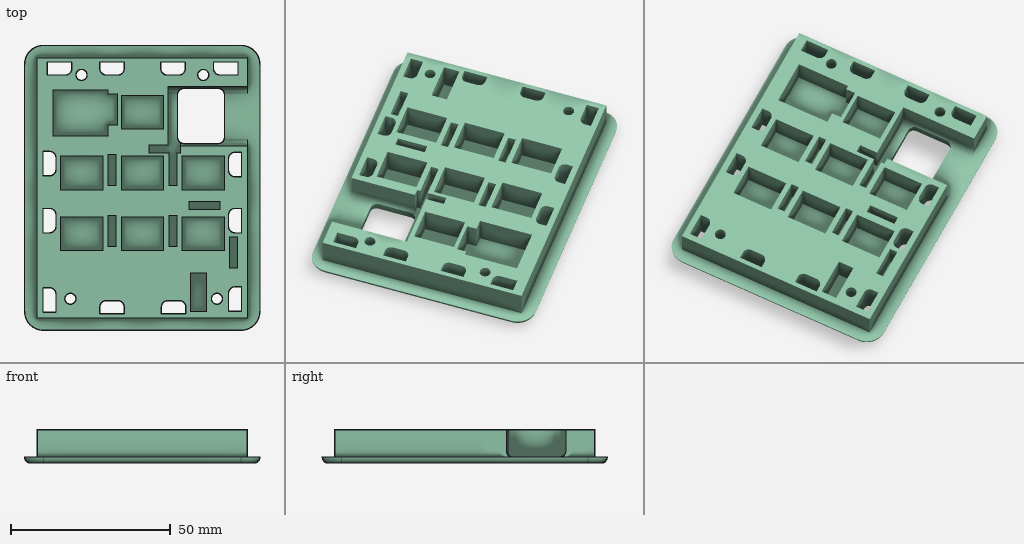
import cadquery as cq

PLATE_X, PLATE_Y, PLATE_T = 73.7, 89.25, 2.0
PLATE_CORNER_R = 6.0
EDGE_LAND = 0.01
PLATE_EDGE_R = PLATE_T - EDGE_LAND
TOTAL_H = 10.5
BODY_MARGIN = 3.9
BODY_X = PLATE_X - 2 * BODY_MARGIN
BODY_Y = PLATE_Y - 2 * BODY_MARGIN
BODY_H = TOTAL_H - PLATE_T

PITCH = 19.0
KEY_X, KEY_Y = 13.2, 10.5
GRID_X, GRID_Y = 0.1, 4.6
FULL_ROWS = (GRID_Y, GRID_Y - PITCH)
TOP_ROW = GRID_Y + PITCH

SLOT_L, SLOT_W = 9.7, 2.5
SLOT_RISE = 0.9
SIDE_SLOT = (28.6, -20.3)
FLAT_SLOTS = ((7.05, 12.2), (19.55, -5.5))

LARGE_X, LARGE_Y = 17.2, 14.4
LARGE_CENTRE = (-19.4, 23.5)
LARGE_SLOT_END = -7.7

TALL_X, TALL_Y = 5.1, 12.0
TALL_CENTRE = (17.6, -32.7)

CHANNEL_LEFT = 8.1
CHANNEL_BOTTOM, CHANNEL_TOP = 13.0, 31.7
CHANNEL_R = 2.0
WINDOW_X, WINDOW_Y = 14.6, 17.2
WINDOW_CENTRE = (18.4, 22.5)
WINDOW_R = 2.0

HOLE_D = 3.4
HOLES = ((-19.0, 35.3), (19.1, 35.3), (-22.5, -34.7), (23.4, -34.7))

NOTCH_L, NOTCH_W = 7.6, 4.0
NOTCH_R = 2.0
NOTCH_GAP_X = 1.9
NOTCH_GAP_Y = 1.3
NOTCH_X = BODY_X / 2 - NOTCH_GAP_X - NOTCH_W / 2
NOTCH_Y = BODY_Y / 2 - NOTCH_GAP_Y - NOTCH_W / 2

BOTH = "<Y"
ONLY_PLUS = "<Y and >X"
ONLY_MINUS = "<Y and <X"

TOP_NOTCHES = ((-25.9, ONLY_PLUS), (-9.5, BOTH), (9.6, BOTH), (26.15, ONLY_MINUS))
BOTTOM_NOTCHES = ((-9.5, BOTH), (9.8, BOTH))
LEFT_NOTCHES = ((7.6, BOTH), (-10.3, BOTH), (-35.1, ONLY_PLUS))
RIGHT_NOTCHES = ((7.3, BOTH), (-10.3, BOTH), (-34.8, ONLY_MINUS))


def pocket(length_x, length_y, centre):
    """Box that cuts the block down to the plate."""
    return (
        cq.Workplane("XY", origin=(centre[0], centre[1], PLATE_T))
        .box(length_x, length_y, BODY_H, centered=(True, True, False))
    )


def upright_slot(centre):
    """Slot with its long side along Y."""
    return pocket(SLOT_W, SLOT_L, centre)


def notch(centre, turn, rounded):
    """Through notch; its inner side faces -Y before it is turned about Z."""
    cutter = cq.Workplane("XY").box(NOTCH_L, NOTCH_W, TOTAL_H, centered=(True, True, False))
    cutter = cutter.edges("|Z").edges(rounded).fillet(NOTCH_R)
    return cutter.rotate((0, 0, 0), (0, 0, 1), turn).translate((centre[0], centre[1], 0))


def make_blank():
    """Plate with a rounded lower edge and the block on top of it."""
    plate = (
        cq.Workplane("XY")
        .box(PLATE_X, PLATE_Y, PLATE_T, centered=(True, True, False))
        .edges("|Z").fillet(PLATE_CORNER_R)
        .faces("<Z").edges().fillet(PLATE_EDGE_R)
    )
    body = pocket(BODY_X, BODY_Y, (0, 0))
    return plate.union(body)


def cut_key_pockets(part):
    for column in (-1, 0, 1):
        for row_y in FULL_ROWS:
            part = part.cut(pocket(KEY_X, KEY_Y, (GRID_X + column * PITCH, row_y)))
    return part.cut(pocket(KEY_X, KEY_Y, (GRID_X, TOP_ROW)))


def cut_slots(part):
    for row_y in FULL_ROWS:
        for side in (-0.5, 0.5):
            part = part.cut(upright_slot((GRID_X + side * PITCH, row_y + SLOT_RISE)))
    part = part.cut(upright_slot(SIDE_SLOT))
    for centre in FLAT_SLOTS:
        part = part.cut(pocket(SLOT_L, SLOT_W, centre))
    return part


def cut_other_pockets(part):
    part = part.cut(pocket(LARGE_X, LARGE_Y, LARGE_CENTRE))
    side_length = LARGE_SLOT_END - LARGE_CENTRE[0]
    side_centre = (LARGE_CENTRE[0] + side_length / 2, TOP_ROW + SLOT_RISE)
    part = part.cut(pocket(side_length, SLOT_L, side_centre))
    return part.cut(pocket(TALL_X, TALL_Y, TALL_CENTRE))


def cut_channel(part):
    length = BODY_X / 2 - CHANNEL_LEFT
    centre = (CHANNEL_LEFT + length / 2, (CHANNEL_BOTTOM + CHANNEL_TOP) / 2)
    channel = pocket(length, CHANNEL_TOP - CHANNEL_BOTTOM, centre)
    channel = channel.faces("<Z").edges("|X").fillet(CHANNEL_R)
    window = (
        cq.Workplane("XY", origin=(WINDOW_CENTRE[0], WINDOW_CENTRE[1], 0))
        .box(WINDOW_X, WINDOW_Y, TOTAL_H, centered=(True, True, False))
        .edges("|Z").fillet(WINDOW_R)
    )
    return part.cut(channel).cut(window)


def join_slots_to_channel(part):
    """Open the upper flat slot into the channel and the upright slot below into the flat one."""
    flat_x, flat_y = FLAT_SLOTS[0]
    flat_length = flat_x + SLOT_L / 2 - CHANNEL_LEFT
    upper_height = CHANNEL_BOTTOM + CHANNEL_R - flat_y
    upper_centre = (CHANNEL_LEFT + flat_length / 2, flat_y + upper_height / 2)
    part = part.cut(pocket(flat_length, upper_height, upper_centre))

    upright_x, upright_y = GRID_X + PITCH / 2, GRID_Y + SLOT_RISE
    lower_centre = (upright_x, (upright_y + flat_y) / 2)
    return part.cut(pocket(SLOT_W, flat_y - upright_y, lower_centre))


def cut_rim_notches(part):
    for x, rounded in TOP_NOTCHES:
        part = part.cut(notch((x, NOTCH_Y), 0, rounded))
    for x, rounded in BOTTOM_NOTCHES:
        part = part.cut(notch((x, -NOTCH_Y), 180, rounded))
    for y, rounded in LEFT_NOTCHES:
        part = part.cut(notch((-NOTCH_X, y), 90, rounded))
    for y, rounded in RIGHT_NOTCHES:
        part = part.cut(notch((NOTCH_X, y), -90, rounded))
    return part


def cut_round_holes(part):
    drills = cq.Workplane("XY").pushPoints(HOLES).circle(HOLE_D / 2).extrude(TOTAL_H)
    return part.cut(drills)


result = make_blank()
result = cut_key_pockets(result)
result = cut_slots(result)
result = cut_other_pockets(result)
result = cut_channel(result)
result = join_slots_to_channel(result)
result = cut_rim_notches(result)
result = cut_round_holes(result)